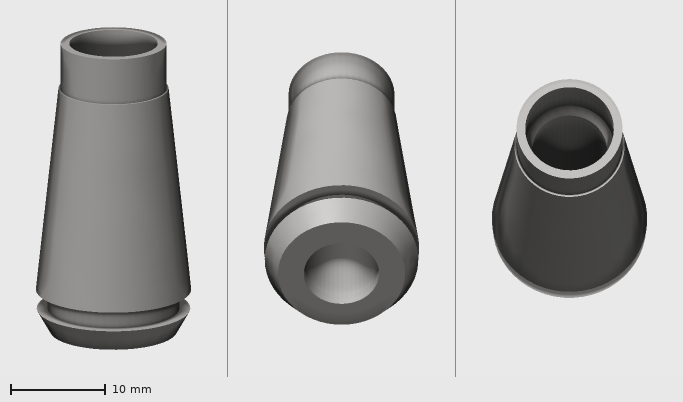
import cadquery as cq

total_height = 32.0
neck_length = 5.0
flange_height = 2.5
groove_width = 2.1
groove_top = flange_height + groove_width
shoulder_height = total_height - neck_length

base_diameter = 13.5
flange_diameter = 16.32
groove_diameter = 14.0
body_bottom_diameter = 16.5
body_top_diameter = 11.7
neck_diameter = 11.25

neck_bore_diameter = 9.4
lower_bore_diameter = 8.0
neck_bore_depth = 5.5
seat_depth = 1.2
seat_top = total_height - neck_bore_depth
seat_bottom = seat_top - seat_depth

profile = [
    (lower_bore_diameter / 2, 0),
    (base_diameter / 2, 0),
    (flange_diameter / 2, flange_height),
    (groove_diameter / 2, flange_height),
    (groove_diameter / 2, groove_top),
    (body_bottom_diameter / 2, groove_top),
    (body_top_diameter / 2, shoulder_height),
    (neck_diameter / 2, shoulder_height),
    (neck_diameter / 2, total_height),
    (neck_bore_diameter / 2, total_height),
    (neck_bore_diameter / 2, seat_top),
    (lower_bore_diameter / 2, seat_bottom),
]

result = cq.Workplane("XZ").polyline(profile).close().revolve(360, (0, 0), (0, 1))